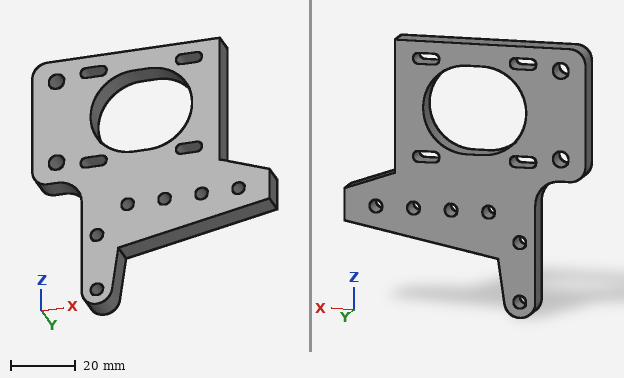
import cadquery as cq
import math

thickness = 8.0
width = 77.0
height = 85.8

plate_width = 60.9
plate_height = 42.0
plate_bottom = height - plate_height
plate_middle = height - plate_height / 2
corner_radius = 5.0

motor_x = 35.4
slot_travel = 5.0
opening_diameter = 28.0
mount_spacing = 31.0
mount_slot_width = 3.4

edge_hole_x = 7.9
edge_hole_spacing = 28.0
edge_hole_diameter = 5.0

leg_left = 16.0
foot_radius = 5.0
foot_x = leg_left + foot_radius
foot_z = foot_radius
leg_fillet_radius = 8.0
leg_hole_spacing = 18.8

arm_tip_top = 38.0
arm_tip_bottom = 27.8
arm_root_x = 28.0
arm_root_z = 18.3
arm_hole_count = 4
arm_hole_start = 31.0
arm_hole_pitch = 12.0
arm_hole_z = 32.9

small_hole_diameter = 4.0


def foot_point(angle):
    """Point on the round foot at an angle measured from +X."""
    return (foot_x + foot_radius * math.cos(angle), foot_z + foot_radius * math.sin(angle))


def make_body():
    root_dx = arm_root_x - foot_x
    root_dz = arm_root_z - foot_z
    root_distance = math.hypot(root_dx, root_dz)
    tangent_angle = math.atan2(root_dz, root_dx) - math.acos(foot_radius / root_distance)
    body = (
        cq.Workplane("XZ")
        .moveTo(0, height)
        .lineTo(plate_width, height)
        .lineTo(plate_width, plate_bottom)
        .lineTo(width, arm_tip_top)
        .lineTo(width, arm_tip_bottom)
        .lineTo(arm_root_x, arm_root_z)
        .lineTo(*foot_point(tangent_angle))
        .threePointArc(foot_point(-math.pi / 2), foot_point(math.pi))
        .lineTo(leg_left, plate_bottom)
        .lineTo(0, plate_bottom)
        .close()
        .extrude(-thickness)
    )
    body = body.edges("|Y and <X").fillet(corner_radius)
    leg_corner = cq.selectors.NearestToPointSelector((leg_left, thickness / 2, plate_bottom))
    return body.edges(leg_corner).fillet(leg_fillet_radius)


def hole_cutter(points, diameter):
    return cq.Workplane("XZ").pushPoints(points).circle(diameter / 2).extrude(-thickness)


def slot_cutter(points, slot_width):
    """Slots along X, lengthened by the motor's adjustment travel."""
    slots = cq.Workplane("XZ").pushPoints(points).slot2D(slot_travel + slot_width, slot_width)
    return slots.extrude(-thickness)


mount_points = [
    (motor_x + side * mount_spacing / 2, plate_middle + level * mount_spacing / 2)
    for side in (-1, 1)
    for level in (-1, 1)
]
edge_points = [(edge_hole_x, plate_middle + level * edge_hole_spacing / 2) for level in (-1, 1)]
leg_points = [(foot_x, foot_z), (foot_x, foot_z + leg_hole_spacing)]
arm_points = [(arm_hole_start + i * arm_hole_pitch, arm_hole_z) for i in range(arm_hole_count)]

result = (
    make_body()
    .cut(slot_cutter([(motor_x, plate_middle)], opening_diameter))
    .cut(slot_cutter(mount_points, mount_slot_width))
    .cut(hole_cutter(edge_points, edge_hole_diameter))
    .cut(hole_cutter(leg_points + arm_points, small_hole_diameter))
)